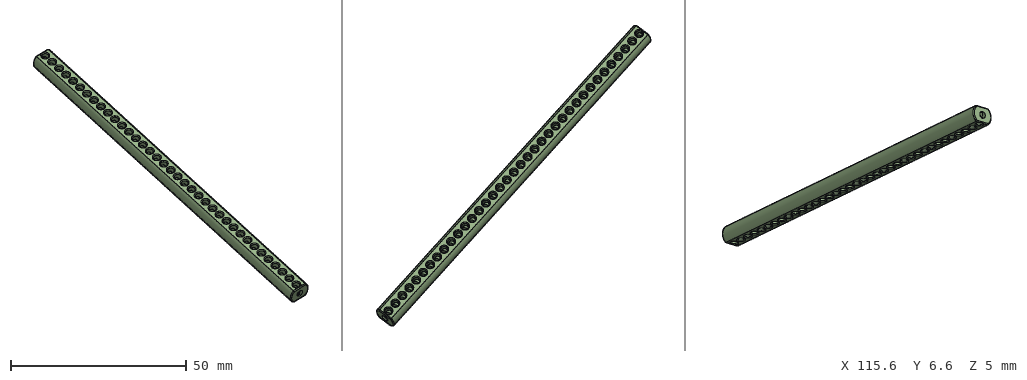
import cadquery as cq

bar_length = 115.6
bar_diameter = 6.6
height_over_flats = 5.0
end_chamfer = 0.3

bore_diameter = 2.0

hole_count = 37
hole_diameter = 2.0
hole_chamfer = 0.3
hole_pitch = bar_length / hole_count


def flattened_bar():
    round_bar = cq.Workplane("YZ").circle(bar_diameter / 2).extrude(bar_length / 2, both=True)
    slab = cq.Workplane("XY").box(bar_length, bar_diameter, height_over_flats)
    return round_bar.intersect(slab).faces("<X or >X").chamfer(end_chamfer)


def long_bore():
    return cq.Workplane("YZ").circle(bore_diameter / 2).extrude(bar_length / 2, both=True)


def hole_cutter():
    """Half profile of a hole with both mouths chamfered, revolved about Z."""
    radius = hole_diameter / 2
    mouth_radius = radius + hole_chamfer
    mouth_z = height_over_flats / 2
    throat_z = mouth_z - hole_chamfer
    profile = [
        (0, -mouth_z),
        (mouth_radius, -mouth_z),
        (radius, -throat_z),
        (radius, throat_z),
        (mouth_radius, mouth_z),
        (0, mouth_z),
    ]
    return cq.Workplane("XZ").polyline(profile).close().revolve(360, (0, 0), (0, 1)).val()


def vertical_holes():
    cutter = hole_cutter()
    centres = cq.Workplane("XY").rarray(hole_pitch, hole_pitch, hole_count, 1)
    return centres.eachpoint(lambda location: cutter.moved(location))


result = flattened_bar().cut(long_bore()).cut(vertical_holes())